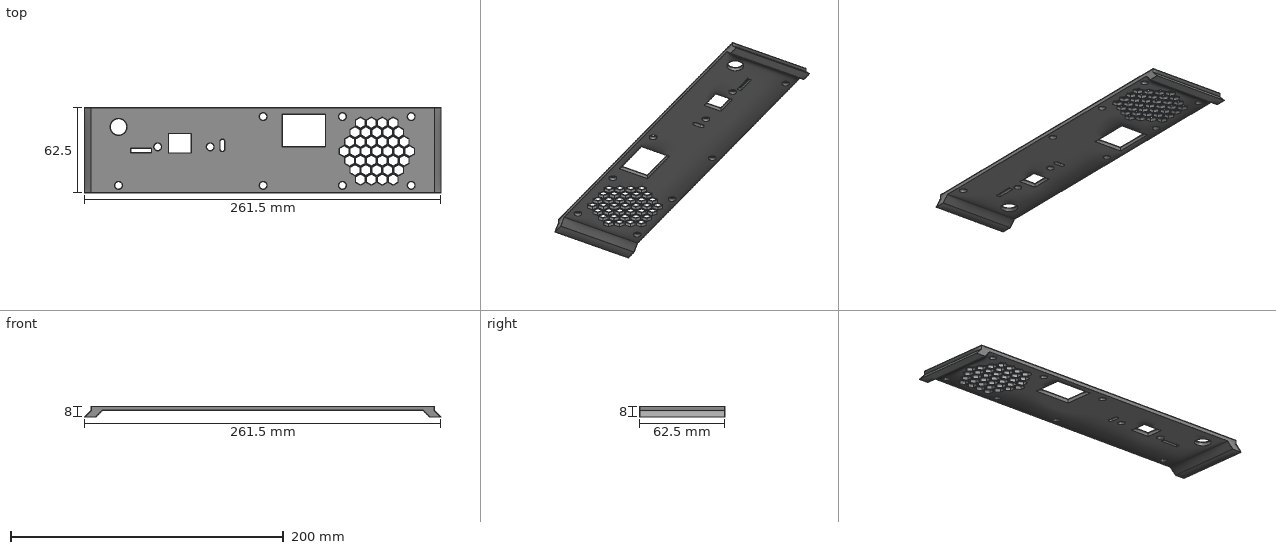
import cadquery as cq
import math

overall_length = 261.54
panel_width = 62.5
overall_height = 8.0
plate_thickness = 3.0
foot_width = 8.27
foot_drop = overall_height - plate_thickness
foot_flare = foot_drop

screw_layout_y = -0.55
screw_diameter = 5.5
screw_row_offset = 25.2
left_screw_x = -105.7
middle_screw_x = 0.3

fan_x = 83.6
grille_y = -0.67
fan_screw_offset = 25.2
grille_rings = 3
grille_pitch = 8.0
grille_web = 1.02

button_x = left_screw_x
button_y = 17.1
button_diameter = 12.1

large_window_center = (30.1, 14.45)
large_window_size = (31.6, 23.6)
small_window_center = (-60.7, 5.1)
small_window_size = (16.5, 14.0)
card_slot_center = (-89.2, -0.2)
card_slot_size = (15.0, 3.0)

connector_screw_y = 2.5
connector_screw_xs = (-77.0, -38.5)

round_slot_center = (-29.6, 3.6)
round_slot_length = 9.0
round_slot_width = 3.4


def panel_body():
    outer_foot_x = overall_length / 2
    inner_foot_x = outer_foot_x - foot_width
    plate_end_x = outer_foot_x - foot_flare
    underside_end_x = inner_foot_x - foot_flare
    right_half = [
        (underside_end_x, foot_drop),
        (inner_foot_x, 0),
        (outer_foot_x, 0),
        (plate_end_x, foot_drop),
        (plate_end_x, overall_height),
    ]
    left_half = [(-x, z) for x, z in reversed(right_half)]
    return (
        cq.Workplane("XZ")
        .polyline(right_half + left_half)
        .close()
        .extrude(panel_width / 2, both=True)
    )


def plate_sketch():
    return cq.Workplane("XY").workplane(offset=foot_drop)


def round_holes(centers, diameter):
    return plate_sketch().pushPoints(centers).circle(diameter / 2).extrude(plate_thickness)


def window(center, size):
    return plate_sketch().center(*center).rect(*size).extrude(plate_thickness)


def round_slot():
    return (
        plate_sketch()
        .center(*round_slot_center)
        .slot2D(round_slot_length, round_slot_width, 90)
        .extrude(plate_thickness)
    )


def screw_centers():
    lower_y = screw_layout_y - screw_row_offset
    upper_y = screw_layout_y + screw_row_offset
    centers = [(left_screw_x, lower_y)]
    for x in (middle_screw_x, fan_x - fan_screw_offset, fan_x + fan_screw_offset):
        centers += [(x, lower_y), (x, upper_y)]
    centers += [(x, connector_screw_y) for x in connector_screw_xs]
    return centers


def grille_centers():
    row_pitch = grille_pitch * math.sqrt(3) / 2
    centers = []
    for row in range(-grille_rings, grille_rings + 1):
        cells = 2 * grille_rings + 1 - abs(row)
        first_x = fan_x - (cells - 1) * grille_pitch / 2
        for cell in range(cells):
            centers.append((first_x + cell * grille_pitch, grille_y + row * row_pitch))
    return centers


def grille_openings():
    sides = 6
    corner_radius = (grille_pitch - grille_web) / math.sqrt(3)
    corner_angles = [math.tau * (corner + 0.5) / sides for corner in range(sides)]
    hexagon = [(corner_radius * math.cos(a), corner_radius * math.sin(a)) for a in corner_angles]
    opening = plate_sketch().polyline(hexagon).close().extrude(plate_thickness).val()
    openings = [opening.moved(cq.Location(cq.Vector(x, y, 0))) for x, y in grille_centers()]
    return cq.Workplane(cq.Compound.makeCompound(openings))


result = (
    panel_body()
    .cut(round_holes(screw_centers(), screw_diameter))
    .cut(round_holes([(button_x, button_y)], button_diameter))
    .cut(window(large_window_center, large_window_size))
    .cut(window(small_window_center, small_window_size))
    .cut(window(card_slot_center, card_slot_size))
    .cut(round_slot())
    .cut(grille_openings())
)